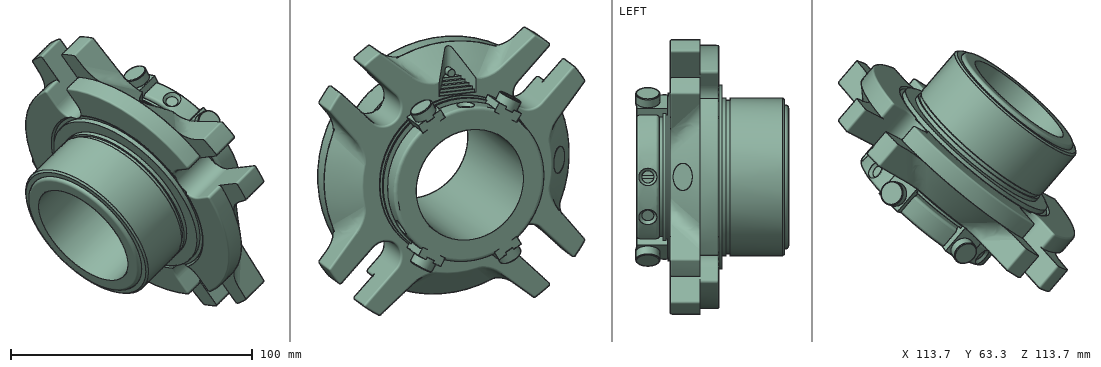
import cadquery as cq
import math


bore_dia = 47.6
sleeve_dia = 50.8
nozzle_dia = 65.4
nozzle_edge = 0.8
nozzle_groove_dia = 63.6
lip_dia = 59.5
lip_length = 1.7
lip_fillet = 1.4
groove_start = 24.2
groove_end = 25.9
ring_front = 27.6
ring_dia = 76.2

flange_front = 28.9
rim_edge = 0.8
rim_corner_fillet = 1.1
rim_dia = 109.1
segment_bore_dia = 79.3
core_dia = segment_bore_dia + 2.3
plate_front = 36.7
plate_rear = 49.1
plate_edge = 0.9
cone_front_radius = rim_dia / 2 - 0.1
cone_rear_radius = cone_front_radius - (plate_rear - plate_front)
slot_width = 14.5
slot_center_radius = 45.7

arm_tip_radius = 66.6
arm_tip_half_width = 15.8
arm_root_radius = 29.5
arm_root_half_width = 19.7
arm_corner_fillet = 0.9
arm_root_fillet = 7.0
slot_angles = (45, 135, 225, 315)

pilot_dia = 69.5
pilot_rear = 49.9
spacer_dia = 66.7
thrust_disc_dia = 68.3
thrust_disc_front = 50.8
thrust_disc_rear = 51.9

collar_dia = 66.7
collar_front = 53.5
collar_rear = 62.9
collar_edge = 1.4
screw_plane = 58.3

clip_angles = (30, 150, 210, 330)
clip_width = 11.5
clip_outer_radius = 35.9
clip_inner_radius = 31.8
clip_front = 50.1
cap_dia = 10.0
cap_face_radius = 40.0
cap_edge = 0.3

set_screw_angles = (0, 120, 240)
slotted_screw_angle = 270
dimple_outer_dia = 7.5
dimple_floor_dia = 5.0
dimple_depth = 1.5
driver_slot_width = 1.2
driver_slot_depth = 0.9

plug_angle = 270
plug_dia = 11.2
plug_center_y = 43.9
plug_length = 4.5

notch_tip_y = 38.1
notch_tip_half_width = 1.7
notch_mouth_half_width = 8.2
notch_floor_radius = 40.9
notch_step_drop = 1.1
notch_step_starts = (42.7, 44.3, 46.0, 47.5, 48.4)
pin_dia = 3.3
pin_rear = 42.3


def disc(dia, y_front, y_rear):
    """Cylinder about the shaft axis between two Y positions."""
    plane = cq.Workplane("XZ", origin=(0, y_front, 0))
    return plane.circle(dia / 2).extrude(y_front - y_rear)


def turned(body, angle):
    """Swing a body about the shaft axis, from +Z towards +X."""
    return body.rotate((0, 0, 0), (0, 1, 0), angle)


def radial_cylinder(dia, y, inner_radius, outer_radius):
    """Cylinder along +Z between two distances from the shaft axis."""
    plane = cq.Workplane("XY", origin=(0, y, inner_radius))
    return plane.circle(dia / 2).extrude(outer_radius - inner_radius)


def radius_of(edge):
    """Distance of an edge's centre from the shaft axis."""
    return math.hypot(edge.Center().x, edge.Center().z)


def block(x_size, y_front, y_rear, z_low, z_high):
    """Box centred on x = 0."""
    box = cq.Workplane("XY").box(x_size, y_rear - y_front, z_high - z_low, centered=(True, False, False))
    return box.translate((0, y_front, z_low))


def make_nozzle():
    lip = disc(lip_dia, 0, lip_length).faces("<Y").edges().fillet(lip_fillet)
    barrel = disc(nozzle_dia, lip_length, groove_start).faces("<Y").edges().chamfer(nozzle_edge)
    groove = disc(nozzle_groove_dia, groove_start, groove_end)
    collar = disc(nozzle_dia, groove_end, ring_front)
    ring = disc(ring_dia, ring_front, plate_front)
    return lip.union(barrel).union(groove).union(collar).union(ring)


def bolt_slot(y_front, y_rear):
    """Open-ended slot with a round bottom, pointing along +Z."""
    round_end = disc(slot_width, y_front, y_rear).translate((0, 0, slot_center_radius))
    return round_end.union(block(slot_width, y_front, y_rear, slot_center_radius, rim_dia))


def cut_bolt_slots(body):
    for angle in slot_angles:
        body = body.cut(turned(bolt_slot(0, plate_rear), angle))
    return body


def make_rim():
    """Four rounded segments standing on a flange core."""
    core = disc(core_dia, flange_front + rim_edge, plate_front)
    segments = cut_bolt_slots(disc(rim_dia, flange_front, plate_front).cut(
        disc(segment_bore_dia, flange_front, plate_front)))
    corners = [
        edge for edge in segments.edges("|Y").vals()
        if radius_of(edge) > rim_dia / 2 - 1.1
    ]
    segments = segments.newObject(corners).fillet(rim_corner_fillet)
    segments = segments.faces("<Y").edges().fillet(rim_edge)
    return cut_bolt_slots(core).union(segments)


def arm_pair():
    """Pair of arms around the +Z direction, before the slot parts them."""
    depth = plate_rear - plate_front
    outline = [
        (-arm_root_half_width, arm_root_radius),
        (-arm_tip_half_width, arm_tip_radius),
        (arm_tip_half_width, arm_tip_radius),
        (arm_root_half_width, arm_root_radius),
    ]
    wedge = cq.Workplane("XZ", origin=(0, plate_front, 0)).polyline(outline).close().extrude(-depth)
    return wedge.intersect(disc(2 * arm_tip_radius, plate_front, plate_rear))


def is_arm_root(edge):
    """Slanted edges where arm flanks meet the conical back."""
    box = edge.BoundingBox()
    spans_plate = box.ylen > 0.9 * (plate_rear - plate_front)
    return spans_plate and max(box.xlen, box.zlen) > 1.7


def make_plate():
    """Conical plate with eight arms blended into it."""
    depth = plate_rear - plate_front
    cone = cq.Workplane("XY").add(cq.Solid.makeCone(
        cone_front_radius, cone_rear_radius, depth, cq.Vector(0, plate_front, 0), cq.Vector(0, 1, 0)))
    plate = cone
    for angle in slot_angles:
        plate = plate.union(turned(arm_pair(), angle))
    roots = [edge for edge in plate.edges().vals() if is_arm_root(edge)]
    plate = plate.newObject(roots).fillet(arm_root_fillet)
    plate = cut_bolt_slots(plate)
    tips = [
        edge for edge in plate.edges("|Y").vals()
        if radius_of(edge) > arm_tip_radius - 1.1
    ]
    plate = plate.newObject(tips).fillet(arm_corner_fillet)
    return plate.faces(">Y").edges().fillet(plate_edge)


def make_rear_stack():
    pilot = disc(pilot_dia, plate_rear, pilot_rear)
    spacer = disc(spacer_dia, pilot_rear, thrust_disc_front)
    thrust_disc = disc(thrust_disc_dia, thrust_disc_front, thrust_disc_rear)
    sleeve = disc(sleeve_dia, thrust_disc_rear, collar_rear)
    return pilot.union(spacer).union(thrust_disc).union(sleeve)


def set_screw_dimple():
    """Flat-bottomed cone sunk into the collar along +Z."""
    cone = cq.Solid.makeCone(
        dimple_floor_dia / 2, dimple_outer_dia / 2, dimple_depth,
        cq.Vector(0, screw_plane, collar_dia / 2 - dimple_depth), cq.Vector(0, 0, 1))
    mouth = radial_cylinder(dimple_outer_dia, screw_plane, collar_dia / 2, clip_outer_radius)
    return mouth.union(cq.Workplane("XY").add(cone))


def driver_slot():
    """Screwdriver slot across the floor of a dimple, parallel to the shaft axis."""
    floor = collar_dia / 2 - dimple_depth
    half = dimple_floor_dia / 2
    bar = block(driver_slot_width, screw_plane - half, screw_plane + half, floor - driver_slot_depth, floor)
    return bar.intersect(radial_cylinder(dimple_floor_dia, screw_plane, floor - driver_slot_depth, floor))


def make_collar():
    collar = disc(collar_dia, collar_front, collar_rear).edges().fillet(collar_edge)
    for angle in set_screw_angles + (slotted_screw_angle,):
        collar = collar.cut(turned(set_screw_dimple(), angle))
    return collar.cut(turned(driver_slot(), slotted_screw_angle))


def make_clip():
    """Flat clip with its cap screw, pointing along +Z."""
    clip = block(clip_width, clip_front, collar_rear, clip_inner_radius, clip_outer_radius)
    cap = radial_cylinder(cap_dia, screw_plane, clip_outer_radius - 1.1, cap_face_radius)
    cap = cap.faces(">Z").edges().chamfer(cap_edge)
    return clip.union(cap)


def make_plug():
    """Disc lying flush in the conical back, its face square to the cone."""
    slant = (cone_front_radius - cone_rear_radius) / (plate_rear - plate_front)
    outward = cq.Vector(0, slant, 1).normalized()
    face_radius = cone_front_radius - slant * (plug_center_y - plate_front)
    base = cq.Vector(0, plug_center_y, face_radius) - outward * plug_length
    return cq.Workplane("XY").add(cq.Solid.makeCylinder(plug_dia / 2, plug_length, base, outward))


def notch_cutter():
    """V prism along +Z whose floor steps inward towards the rear."""
    lowest_floor = notch_floor_radius - notch_step_drop * len(notch_step_starts)
    outline = (
        cq.Workplane("XY", origin=(0, 0, lowest_floor))
        .moveTo(-notch_mouth_half_width, plate_rear)
        .lineTo(-notch_tip_half_width, notch_tip_y + notch_tip_half_width / 2)
        .threePointArc((0, notch_tip_y), (notch_tip_half_width, notch_tip_y + notch_tip_half_width / 2))
        .lineTo(notch_mouth_half_width, plate_rear)
        .close()
    )
    prism = outline.extrude(rim_dia / 2 - lowest_floor)
    width = 2 * notch_mouth_half_width
    steps = block(width, plate_front, plate_rear, notch_floor_radius, rim_dia)
    for count, start in enumerate(notch_step_starts, 1):
        floor = notch_floor_radius - count * notch_step_drop
        steps = steps.union(block(width, start, plate_rear, floor, rim_dia))
    return prism.intersect(steps)


def notch_pin():
    return disc(pin_dia, notch_tip_y, pin_rear).translate((0, 0, notch_floor_radius + pin_dia / 2 - 0.2))


plate = make_plate().cut(notch_cutter()).union(notch_pin())
plate = plate.union(turned(make_plug(), plug_angle))

result = make_nozzle().union(make_rim()).union(plate)
result = result.union(make_rear_stack()).union(make_collar())
for clip_angle in clip_angles:
    result = result.union(turned(make_clip(), clip_angle))
result = result.cut(disc(bore_dia, 0, collar_rear))